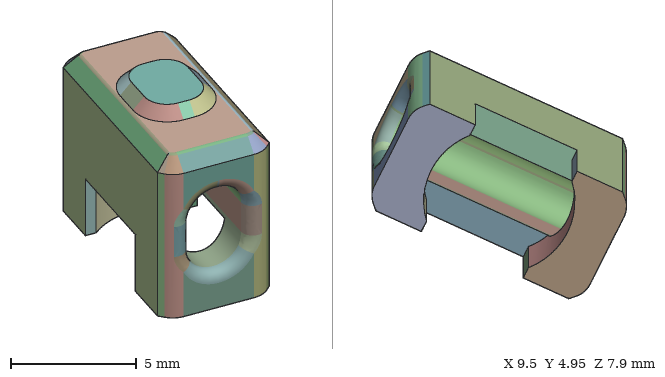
import cadquery as cq

length = 9.5
width = 4.95
total_height = 7.9
corner_chamfer = 0.5
corner_radius = 1.0
top_chamfer = 0.6
top_edge_radius = 0.2

boss_height = 0.5
boss_top_length = 3.16
boss_top_width = 2.5
boss_top_radius = 1.0

notch_length = 4.48
notch_height = 2.69
bore_radius = 3.0

opening_width = 2.5
opening_height = 3.85
opening_top_radius = 1.21
opening_center_z = 3.57
opening_mouth_radius = 0.5

body_height = total_height - boss_height
selection_margin = 0.01


def make_body():
    """Block with chamfered corners, eased toward the end faces, and a bevelled top."""
    block = cq.Workplane("XY").box(length, width, body_height, centered=(True, True, False))
    block = block.edges("|Z").chamfer(corner_chamfer)
    for side in (-1, 1):
        end_x = side * length / 2
        selector = cq.selectors.BoxSelector(
            (end_x - selection_margin, -width, 0),
            (end_x + selection_margin, width, body_height),
        )
        block = block.edges("|Z").edges(selector).fillet(corner_radius)
    block = block.faces(">Z").edges().chamfer(top_chamfer)
    return block.faces(">Z").edges().fillet(top_edge_radius)


def make_boss():
    """Rounded boss that widens at 45 degrees down to the body."""
    outline = (
        cq.Sketch()
        .rect(boss_top_length + 2 * boss_height, boss_top_width + 2 * boss_height)
        .vertices()
        .fillet(boss_top_radius + boss_height)
    )
    boss = cq.Workplane("XY").placeSketch(outline).extrude(boss_height, taper=45)
    return boss.translate((0, 0, body_height))


def cut_opening(body):
    """Cut the lengthwise opening and round over both of its mouths."""
    half_width = opening_width / 2
    top_z = opening_center_z + opening_height / 2
    bottom_z = opening_center_z - opening_height / 2
    cutter = (
        cq.Workplane("YZ", origin=(-length, 0, 0))
        .moveTo(-half_width, top_z)
        .lineTo(-half_width, bottom_z + half_width)
        .threePointArc((0, bottom_z), (half_width, bottom_z + half_width))
        .lineTo(half_width, top_z)
        .close()
        .extrude(2 * length)
        .edges("|X and >Z")
        .fillet(opening_top_radius)
    )
    body = body.cut(cutter)
    for side in (-1, 1):
        end_x = side * length / 2
        selector = cq.selectors.BoxSelector(
            (end_x - corner_chamfer, -half_width - selection_margin, bottom_z - selection_margin),
            (end_x + corner_chamfer, half_width + selection_margin, top_z + selection_margin),
            boundingbox=True,
        )
        body = body.edges(selector).fillet(opening_mouth_radius)
    return body


def make_notch():
    """Straight cross notch with a round recess of the same height between the legs."""
    slot = cq.Workplane("XY").box(notch_length, 2 * width, notch_height, centered=(True, True, False))
    recess = cq.Workplane("XY").circle(bore_radius).extrude(notch_height)
    return slot.union(recess)


result = cut_opening(make_body()).cut(make_notch()).union(make_boss())